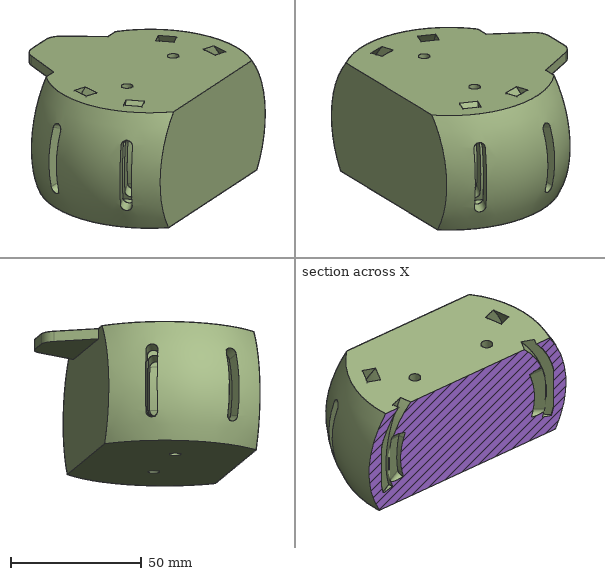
import cadquery as cq
import math

BALL_RADIUS = 47.9
TOP_Z = 26.0
HEIGHT = 47.0
FRONT_X = 28.1
BODY_BACK_X = -31.0

OVERALL_LENGTH = 78.0
LUG_TIP_X = FRONT_X - OVERALL_LENGTH
LUG_ROOT_X = 0.0
LUG_THICKNESS = 4.0
LUG_ROOT_HALF_WIDTH = 20.0
LUG_SIDE_ANGLE = 30.0
LUG_CORNER_RADIUS = 7.0

HOLE_DIAMETER = 4.4
HOLE_SPACING = 33.9

SLOT_AZIMUTH = 20.0
CHANNEL_WIDTH = 7.2
CHANNEL_INNER_RADIUS = 38.9
CHANNEL_OUTER_RADIUS = 42.9
SLOT_WIDTH = 4.5
SLOT_FLOOR_RADIUS = 33.5
SLOT_LOW_ANGLE = -12.5
SLOT_HIGH_ANGLE = 17.0
CHANNEL_LOW_ANGLE = SLOT_LOW_ANGLE - math.degrees(CHANNEL_WIDTH / 2 / CHANNEL_INNER_RADIUS)
CHANNEL_HIGH_ANGLE = 60.0

CUT_CLEARANCE = 1.9


def polar_point(radius, elevation):
    """Point in an upright plane at a radius and elevation (degrees) from the ball centre."""
    angle = math.radians(elevation)
    return radius * math.cos(angle), radius * math.sin(angle)


def ring_sector(inner_radius, outer_radius, low_angle, high_angle, width):
    """Part of an upright flat ring in the XZ plane, thickened evenly about that plane."""
    middle_angle = (low_angle + high_angle) / 2
    return (
        cq.Workplane("XZ")
        .moveTo(*polar_point(inner_radius, low_angle))
        .lineTo(*polar_point(outer_radius, low_angle))
        .threePointArc(polar_point(outer_radius, middle_angle), polar_point(outer_radius, high_angle))
        .lineTo(*polar_point(inner_radius, high_angle))
        .threePointArc(polar_point(inner_radius, middle_angle), polar_point(inner_radius, low_angle))
        .close()
        .extrude(width / 2, both=True)
    )


def trimmed_ball():
    """Ball cut flat at the top, bottom, front and back."""
    trim_box = cq.Workplane("XY").box(
        FRONT_X - BODY_BACK_X, 2 * BALL_RADIUS + CUT_CLEARANCE, HEIGHT, centered=(False, True, False)
    )
    trim_box = trim_box.translate((BODY_BACK_X, 0, TOP_Z - HEIGHT))
    return cq.Workplane("XY").sphere(BALL_RADIUS).intersect(trim_box)


def lug():
    """Tapered plate with rounded tip corners, rooted inside the body."""
    taper = (BODY_BACK_X - LUG_TIP_X) * math.tan(math.radians(LUG_SIDE_ANGLE))
    tip_half_width = LUG_ROOT_HALF_WIDTH - taper
    outline = [
        (LUG_ROOT_X, -LUG_ROOT_HALF_WIDTH),
        (BODY_BACK_X, -LUG_ROOT_HALF_WIDTH),
        (LUG_TIP_X, -tip_half_width),
        (LUG_TIP_X, tip_half_width),
        (BODY_BACK_X, LUG_ROOT_HALF_WIDTH),
        (LUG_ROOT_X, LUG_ROOT_HALF_WIDTH),
    ]
    plate = cq.Workplane("XY", origin=(0, 0, TOP_Z)).polyline(outline).close().extrude(-LUG_THICKNESS)
    return plate.edges("|Z and <X").fillet(LUG_CORNER_RADIUS)


def through_holes():
    """Two vertical hole cutters spaced along Y."""
    return (
        cq.Workplane("XY", origin=(0, 0, TOP_Z))
        .pushPoints([(0, -HOLE_SPACING / 2), (0, HOLE_SPACING / 2)])
        .circle(HOLE_DIAMETER / 2)
        .extrude(-HEIGHT)
    )


def nut_channel():
    """Curved channel that opens through the top face and runs down behind the bolt slot."""
    return ring_sector(
        CHANNEL_INNER_RADIUS, CHANNEL_OUTER_RADIUS, CHANNEL_LOW_ANGLE, CHANNEL_HIGH_ANGLE, CHANNEL_WIDTH
    )


def bolt_slot():
    """Radial slot with round ends, open on the ball surface and crossing the nut channel."""
    outer_radius = BALL_RADIUS + CUT_CLEARANCE
    slot = ring_sector(SLOT_FLOOR_RADIUS, outer_radius, SLOT_LOW_ANGLE, SLOT_HIGH_ANGLE, SLOT_WIDTH)
    for elevation in (SLOT_LOW_ANGLE, SLOT_HIGH_ANGLE):
        round_end = (
            cq.Workplane("YZ", origin=(SLOT_FLOOR_RADIUS, 0, 0))
            .circle(SLOT_WIDTH / 2)
            .extrude(outer_radius - SLOT_FLOOR_RADIUS)
            .rotate((0, 0, 0), (0, 1, 0), -elevation)
        )
        slot = slot.union(round_end)
    return slot


result = trimmed_ball().union(lug()).cut(through_holes())

for round_end_azimuth in (90, -90):
    for offset in (-SLOT_AZIMUTH, SLOT_AZIMUTH):
        for cutter in (nut_channel(), bolt_slot()):
            turned_cutter = cutter.rotate((0, 0, 0), (0, 0, 1), round_end_azimuth + offset)
            result = result.cut(turned_cutter)